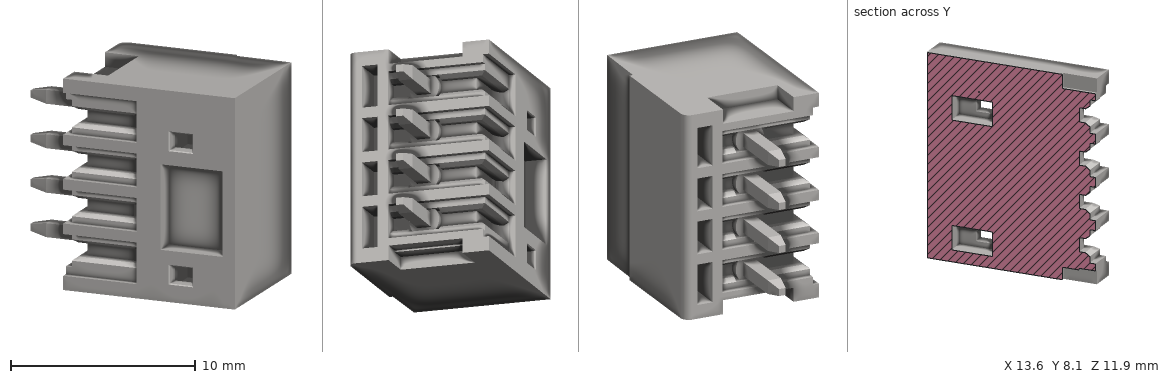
import cadquery as cq
import math


total_length = 13.6
pin_reach = 3.5
body_length = total_length - pin_reach
body_depth = 8.1
body_height = 11.9
half_height = body_height / 2

corner_radius = 0.49
step_x = 6.8
step_depth = 0.2
end_step_depth = 0.26

pin_count = 4
pitch = 2.5
pin_width = 0.79
pin_tip_width = 0.41
pin_tip_length = 0.99
pin_y = 3.9
pin_heights = [(i - (pin_count - 1) / 2) * pitch for i in range(pin_count)]

slot_half_height = 0.95
slot_reach_x = 4.31
slot_reach_y = 5.81
recess_depth = 0.35
end_wall = 0.8

groove_half_height = pin_width / 2
groove_floor_x = 0.98
groove_floor_y = 1.05
groove_end_radius = 0.87
mouth_half_height = 0.6
mouth_depth = 0.27

boss_face_x = 0.52
boss_radius = 0.85
boss_notch_half_width = 0.9

flat_start_x = 3.74
flat_length = 0.26
flat_groove = 1

window_y = 6.4
window_width = 0.9
window_depth = 2.0

end_notch_length = 2.0
end_notch_y = 1.52
end_notch_width = 4.25
end_notch_depth = 0.82
end_notch_ledge = 0.1

pocket_x = 5.74
pocket_length = 3.66
pocket_height = 4.81
pocket_depth = 1.21
pocket_center_z = -0.65

latch_x = 6.22
latch_length = 1.44
latch_height = 1.12
latch_rim = 0.05
latch_wall = 0.72
latch_offset = 1.5 * pitch
chamber_overhang = 0.95
chamber_drop = 0.27
chamber_depth = 1.9
chamber_ledge_drop = 0.34
chamber_upper_depth = 0.27


def box(x0, x1, y0, y1, z0, z1):
    """Block between two opposite corners."""
    return cq.Workplane("XY").box(x1 - x0, y1 - y0, z1 - z0, centered=False).translate((x0, y0, z0))


def slab(outline, half_height):
    """Extrude an XY outline by the same amount above and below Z = 0."""
    return outline.extrude(half_height, both=True)


def make_body():
    outline = (
        cq.Workplane("XY")
        .lineTo(body_length, 0)
        .lineTo(body_length, body_depth - end_step_depth)
        .lineTo(step_x, body_depth - step_depth)
        .lineTo(step_x, body_depth)
        .lineTo(corner_radius, body_depth)
        .radiusArc((0, body_depth - corner_radius), -corner_radius)
        .close()
    )
    return slab(outline, half_height)


def groove_outline():
    """L shape round the corner, with a rounded end on the slotted face."""
    arc_center_x = slot_reach_x - groove_end_radius
    arc_start_y = groove_floor_y - groove_end_radius
    diagonal = groove_end_radius * math.sqrt(0.5)
    return (
        cq.Workplane("XY")
        .lineTo(slot_reach_x, 0)
        .lineTo(slot_reach_x, arc_start_y)
        .threePointArc((arc_center_x + diagonal, arc_start_y + diagonal), (arc_center_x, groove_floor_y))
        .lineTo(groove_floor_x, groove_floor_y)
        .lineTo(groove_floor_x, slot_reach_y)
        .lineTo(0, slot_reach_y)
        .close()
    )


def groove_mouth():
    """Sloping mouth of the groove, narrowing inwards from both faces."""
    profile = [
        (0, mouth_half_height),
        (recess_depth, mouth_half_height),
        (recess_depth + mouth_depth, groove_half_height),
        (recess_depth + mouth_depth, -groove_half_height),
        (recess_depth, -mouth_half_height),
        (0, -mouth_half_height),
    ]
    pin_side = cq.Workplane("XZ").polyline(profile).close().extrude(-slot_reach_y)
    slotted_side = cq.Workplane("YZ").polyline(profile).close().extrude(slot_reach_x)
    return pin_side.union(slotted_side).intersect(slab(groove_outline(), mouth_half_height))


def make_slot():
    """Space removed at one contact, centred on Z = 0."""
    pin_recess = box(0, recess_depth, 0, slot_reach_y, -slot_half_height, slot_half_height)
    boss_notch = box(
        0, groove_floor_x,
        pin_y - boss_notch_half_width, pin_y + boss_notch_half_width,
        -mouth_half_height, mouth_half_height,
    )
    groove = slab(groove_outline(), groove_half_height)
    return pin_recess.union(groove).union(groove_mouth()).union(boss_notch)


def make_groove_flat():
    """Small flat-bottomed cut in the rounded end of a groove, centred on Z = 0."""
    run = flat_start_x - (slot_reach_x - groove_end_radius)
    flat_y = groove_floor_y - groove_end_radius + math.sqrt(groove_end_radius**2 - run**2)
    return box(flat_start_x, flat_start_x + flat_length, 0, flat_y, -groove_half_height, groove_half_height)


def make_contact():
    """Pin with a tapered tip, standing on a round boss, centred on Z = 0."""
    shank_end = pin_tip_length - pin_reach
    axis = cq.Workplane("YZ").center(pin_y, 0)
    boss = axis.circle(boss_radius).extrude(groove_floor_x - boss_face_x).translate((boss_face_x, 0, 0))
    boss = boss.intersect(
        box(0, groove_floor_x, 0, body_depth, -mouth_half_height, mouth_half_height)
    )
    shank = axis.rect(pin_width, pin_width).extrude(groove_floor_x - shank_end).translate((shank_end, 0, 0))
    tip = (
        axis.rect(pin_width, pin_width)
        .workplane(offset=-pin_tip_length)
        .rect(pin_tip_width, pin_tip_width)
        .loft()
        .translate((shank_end, 0, 0))
    )
    return boss.union(shank).union(tip)


def make_end_notch():
    """Notch in the top end wall."""
    y_end = end_notch_y + end_notch_width
    return box(0, end_notch_length, end_notch_y, y_end, half_height - end_notch_depth, half_height)


def make_stepped_end_notch():
    """Notch in the bottom end wall, shallower over its inner half."""
    y_end = end_notch_y + end_notch_width
    front = box(0, end_notch_length / 2, end_notch_y, y_end, -half_height, end_notch_depth - half_height)
    ledge_z = end_notch_depth - end_notch_ledge - half_height
    return front.union(box(0, end_notch_length, end_notch_y, y_end, -half_height, ledge_z))


def make_latch_opening():
    """Opening with a chamfered rim and a wider chamber behind the wall, centred on Z = 0."""
    x_end = latch_x + latch_length
    top = latch_height / 2
    inner_top = top - latch_rim
    opening = box(
        latch_x + latch_rim, x_end - latch_rim, 0, latch_wall, -inner_top, inner_top
    )
    rim = (
        cq.Workplane("XZ")
        .center(latch_x + latch_length / 2, 0)
        .rect(latch_length, latch_height)
        .workplane(offset=-latch_rim)
        .rect(latch_length - 2 * latch_rim, latch_height - 2 * latch_rim)
        .loft()
    )
    chamber_end = latch_wall + chamber_depth
    chamber = box(latch_x, x_end + chamber_overhang, latch_wall, chamber_end, -top - chamber_drop, top)
    upper = box(
        latch_x, x_end + chamber_overhang,
        latch_wall, chamber_end + chamber_upper_depth,
        top - chamber_ledge_drop, top,
    )
    return opening.union(rim).union(chamber).union(upper)


result = make_body()

slot = make_slot()
for index, z in enumerate(pin_heights):
    low = z - slot_half_height
    high = z + slot_half_height
    if index == 0:
        low = end_wall - half_height
    if index == pin_count - 1:
        high = half_height - end_wall
    result = result.cut(slot.translate((0, 0, z)))
    result = result.cut(box(0, slot_reach_x, 0, recess_depth, low, high))
    result = result.cut(box(0, window_depth, window_y, window_y + window_width, low, high))

result = result.cut(make_groove_flat().translate((0, 0, pin_heights[flat_groove])))

result = result.cut(make_end_notch()).cut(make_stepped_end_notch())

pocket_low = pocket_center_z - pocket_height / 2
result = result.cut(
    box(pocket_x, pocket_x + pocket_length, 0, pocket_depth, pocket_low, pocket_low + pocket_height)
)
latch_opening = make_latch_opening()
for side in (-1, 1):
    result = result.cut(latch_opening.translate((0, 0, pocket_center_z + side * latch_offset)))

contact = make_contact()
for z in pin_heights:
    result = result.union(contact.translate((0, 0, z)))